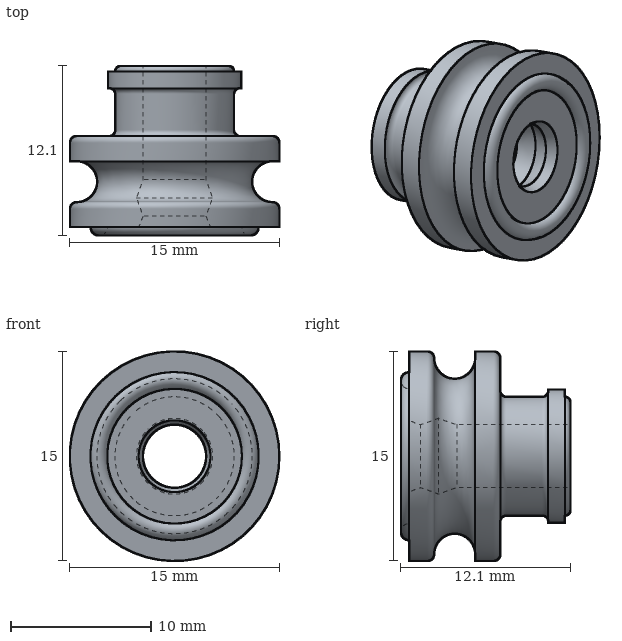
import cadquery as cq
import math


rim_radius = 7.48
collar_radius = 4.75
neck_radius = 4.25
bead_outer_radius = 6.0

total_length = 12.1
bead_height = 0.6
flange_length = 6.5
front_rim_length = 1.3
collar_length = 1.2

rim_round = 0.5
neck_round = 0.4
groove_radius = 1.45

mouth_radius = 2.55
throat_radius = 2.24
relief_radius = 2.7
throat_depth = 0.79
relief_depth = 2.1
relief_end_depth = 2 * relief_depth - throat_depth

flange_front = bead_height
flange_back = flange_front + flange_length
groove_front = flange_front + front_rim_length + rim_round
groove_back = groove_front + 2 * groove_radius
collar_back = total_length - neck_round
collar_front = collar_back - collar_length

groove_center_radius = rim_radius - rim_round
groove_center_y = groove_front + groove_radius
bead_center_radius = bead_outer_radius - bead_height


def on_circle(center_radius, center_y, circle_radius, angle):
    """Point of the half section on a circle, at an angle in degrees from the radial direction."""
    turn = math.radians(angle)
    return (center_radius + circle_radius * math.cos(turn), center_y + circle_radius * math.sin(turn))


def make_body():
    """Solid bush without its bore, as one revolved half section."""
    section = (
        cq.Workplane("XY")
        .moveTo(0, flange_front)
        .lineTo(rim_radius, flange_front)
        .lineTo(rim_radius, groove_front - rim_round)
        .threePointArc(
            on_circle(groove_center_radius, groove_front - rim_round, rim_round, 45),
            (groove_center_radius, groove_front),
        )
        .threePointArc(
            (groove_center_radius - groove_radius, groove_center_y),
            (groove_center_radius, groove_back),
        )
        .lineTo(rim_radius, groove_back)
        .lineTo(rim_radius, flange_back - rim_round)
        .threePointArc(
            on_circle(rim_radius - rim_round, flange_back - rim_round, rim_round, 45),
            (rim_radius - rim_round, flange_back),
        )
        .lineTo(neck_radius + neck_round, flange_back)
        .threePointArc(
            on_circle(neck_radius + neck_round, flange_back + neck_round, neck_round, 225),
            (neck_radius, flange_back + neck_round),
        )
        .lineTo(neck_radius, collar_front - neck_round)
        .threePointArc(
            on_circle(neck_radius + neck_round, collar_front - neck_round, neck_round, 135),
            (neck_radius + neck_round, collar_front),
        )
        .lineTo(collar_radius, collar_front)
        .lineTo(collar_radius, collar_back)
        .lineTo(neck_radius, collar_back)
        .threePointArc(
            on_circle(neck_radius - neck_round, collar_back, neck_round, 45),
            (neck_radius - neck_round, total_length),
        )
        .lineTo(0, total_length)
        .close()
    )
    return section.revolve(360, (0, 0), (0, 1))


def make_bead():
    """Half-round ring standing on the front face, bedded into the flange as a full torus."""
    section = cq.Workplane("XY").center(bead_center_radius, flange_front).circle(bead_height)
    return section.revolve(360, (-bead_center_radius, 0), (-bead_center_radius, 1))


def make_bore():
    """Space removed by the through bore."""
    section = cq.Workplane("XY").polyline([
        (0, flange_front),
        (mouth_radius, flange_front),
        (throat_radius, flange_front + throat_depth),
        (relief_radius, flange_front + relief_depth),
        (throat_radius, flange_front + relief_end_depth),
        (throat_radius, total_length),
        (0, total_length),
    ]).close()
    return section.revolve(360, (0, 0), (0, 1))


result = make_body().union(make_bead()).cut(make_bore())